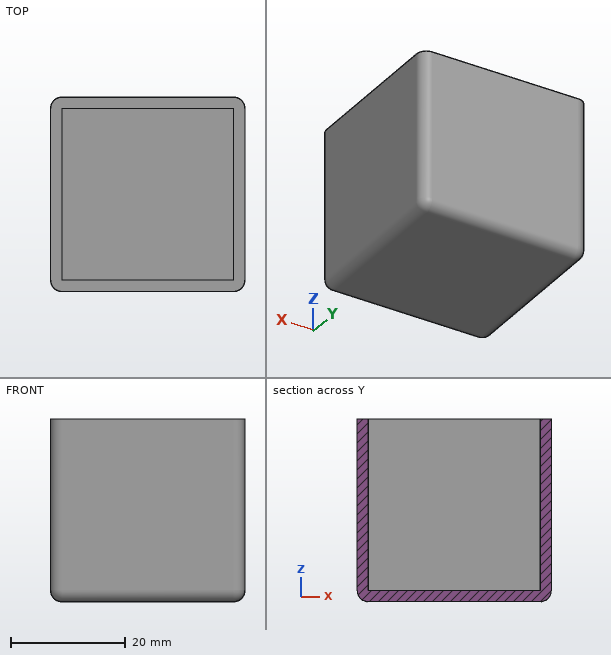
import cadquery as cq

cavity_side = 30.0
cavity_depth = 30.0
wall = 2.0

outer_side = cavity_side + 2 * wall
outer_height = cavity_depth + wall
edge_radius = wall


def rounded_block():
    """Outer block resting on Z = 0, rounded on its upright and bottom edges."""
    block = cq.Workplane("XY").box(outer_side, outer_side, outer_height, centered=(True, True, False))
    return block.edges("|Z or <Z").fillet(edge_radius)


def cavity():
    """Square pocket volume, from the floor up to the open top."""
    return (
        cq.Workplane("XY")
        .workplane(offset=wall)
        .rect(cavity_side, cavity_side)
        .extrude(cavity_depth)
    )


result = rounded_block().cut(cavity())